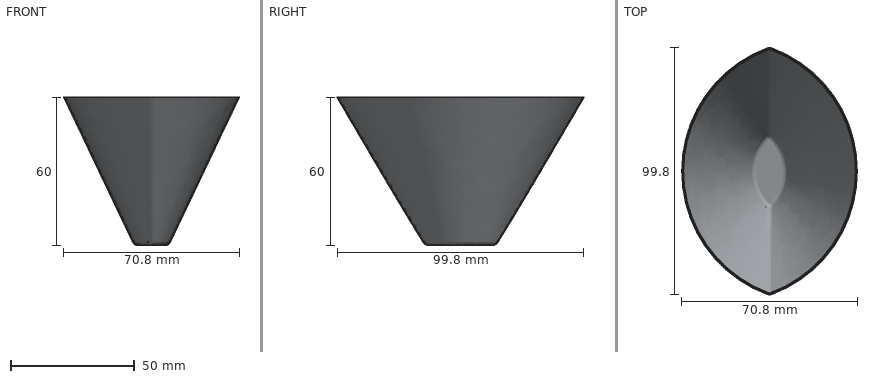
import cadquery as cq
import math

height = 60.0
rim_half_width = 35.4
rim_length = 99.8
tip_rounding = 0.14
rim_half_length = rim_length / 2 + tip_rounding
base_half_width = 6.9
base_half_length = 15.0
edge_radius = 2.5
wall = 0.6
floor = 0.5


def lens_size(z, inset):
    """Half width and half length of the pointed oval at height z, moved inwards by inset."""
    share = z / height
    half_width = base_half_width + share * (rim_half_width - base_half_width)
    half_length = base_half_length + share * (rim_half_length - base_half_length)
    arc_radius = (half_width**2 + half_length**2) / (2 * half_width)
    centre_offset = arc_radius - half_width
    inset_length = math.sqrt((arc_radius - inset) ** 2 - centre_offset**2)
    return half_width - inset, inset_length


def lens_wire(z, inset):
    """Pointed oval made of two arcs that meet on the Y axis."""
    half_width, half_length = lens_size(z, inset)
    return (
        cq.Workplane("XY", origin=(0, 0, z))
        .moveTo(0, -half_length)
        .threePointArc((half_width, 0), (0, half_length))
        .threePointArc((-half_width, 0), (0, -half_length))
        .close()
        .val()
    )


def rounded_cup(bottom, inset):
    """Solid flaring body from bottom to the rim, with rounded seams and bottom edge."""
    wires = [lens_wire(bottom, inset), lens_wire(height, inset)]
    body = cq.Workplane(cq.Solid.makeLoft(wires, True))
    return body.edges("not >Z").fillet(edge_radius - inset)


outer_body = rounded_cup(bottom=0, inset=0)
cavity = rounded_cup(bottom=floor, inset=wall)
result = outer_body.cut(cavity)